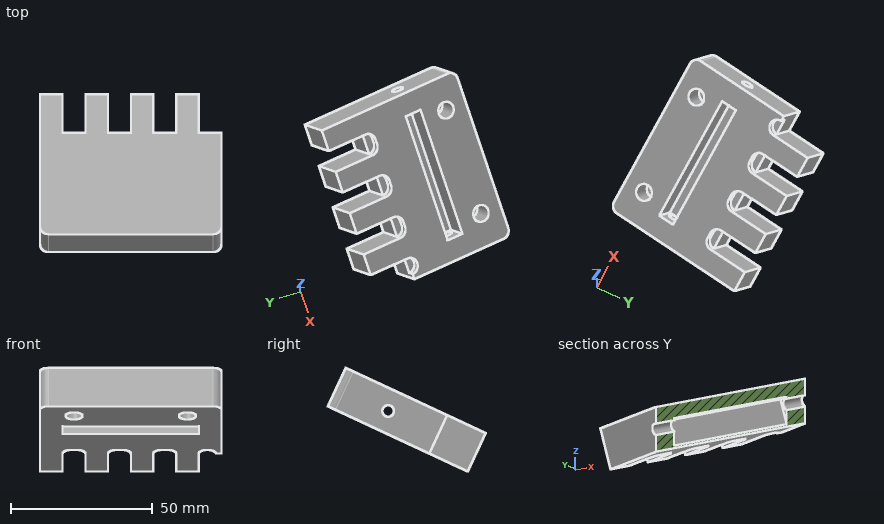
import cadquery as cq

block_width = 64.0
block_length = 54.5
block_thickness = 15.0
front_corner_radius = 3.0
tilt_angle = 25.0

finger_count = 4
finger_pitch = block_width / finger_count
gap_width = finger_pitch / 2
gap_depth = 15.0

recess_reach = 3.0
recess_height = 3.0
recess_corner_radius = 3.0

pin_diameter = 4.0
pin_y = 20.0

slot_length = 48.0
slot_width = 6.0
slot_depth = 10.0

blind_hole_diameter = 6.0
blind_hole_y = 8.0
blind_hole_inset = 12.0
blind_hole_depth = 10.0

gap_front_y = block_length - gap_depth
recess_front_y = gap_front_y - recess_reach
gap_starts = [i * finger_pitch + gap_width for i in range(finger_count)]


def box_at(x, y, width, length, height):
    """Box standing on the underside plane with its near left corner at (x, y)."""
    return cq.Workplane("XY").box(width, length, height, centered=False).translate((x, y, 0))


def make_block():
    block = box_at(0, 0, block_width, block_length, block_thickness)
    return block.edges("|Z and <Y").fillet(front_corner_radius)


def make_recess(x):
    """Gap-wide recess with two rounded front corners, opening into the gap behind it."""
    recess = box_at(x, recess_front_y, gap_width, block_length - recess_front_y, recess_height)
    return recess.edges("|Z and <Y").fillet(recess_corner_radius)


def make_narrow_recess(x):
    """Recess only as wide as its semicircular front end, opening into the gap behind it."""
    nose_x = x + recess_corner_radius
    nose_y = recess_front_y + recess_corner_radius
    nose = cq.Workplane("XY").center(nose_x, nose_y).circle(recess_corner_radius).extrude(recess_height)
    tail = box_at(x, nose_y, 2 * recess_corner_radius, block_length - nose_y, recess_height)
    return nose.union(tail)


def cut_gaps(block):
    for x in gap_starts:
        block = block.cut(box_at(x, gap_front_y, gap_width, gap_depth, block_thickness))
    return block


def cut_recesses(block):
    for x in gap_starts[:-1]:
        block = block.cut(make_recess(x))
    return block.cut(make_narrow_recess(gap_starts[-1]))


def cut_slot(block):
    slot_x = (block_width - slot_length) / 2
    slot_y = pin_y - slot_width / 2
    return block.cut(box_at(slot_x, slot_y, slot_length, slot_width, slot_depth))


def cut_blind_holes(block):
    centers = [(blind_hole_inset, blind_hole_y), (block_width - blind_hole_inset, blind_hole_y)]
    holes = cq.Workplane("XY").pushPoints(centers).circle(blind_hole_diameter / 2).extrude(blind_hole_depth)
    return block.cut(holes)


def cut_pin_hole(block):
    pin = cq.Workplane("YZ").center(pin_y, block_thickness / 2).circle(pin_diameter / 2)
    return block.cut(pin.extrude(block_width))


flat_part = make_block()
flat_part = cut_gaps(flat_part)
flat_part = cut_recesses(flat_part)
flat_part = cut_slot(flat_part)
flat_part = cut_blind_holes(flat_part)
flat_part = cut_pin_hole(flat_part)

result = flat_part.rotate((0, 0, 0), (1, 0, 0), -tilt_angle)